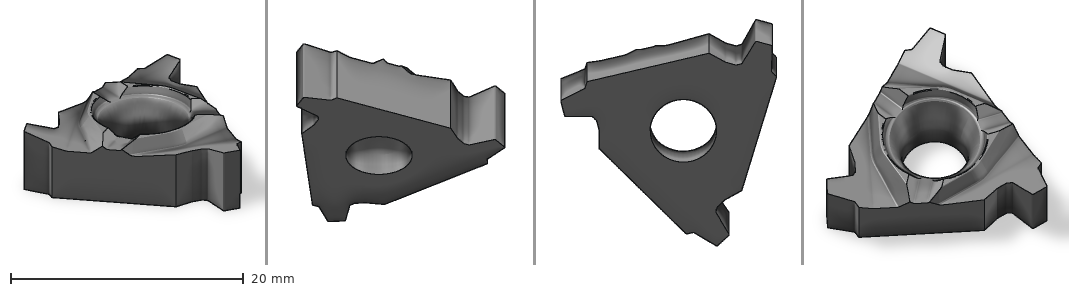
import cadquery as cq
import math


TOOTH_COUNT = 3
PITCH_ANGLE = 360 / TOOTH_COUNT

TOP_Z = 5.85
TIP_Z = 5.62
FLOOR_Z = 4.6
INSCRIBED_RADIUS = 6.33
REACH = 13.2
CLEARANCE = 0.38

TIP_Y = 9.58
TIP_LEFT_X = -5.2
TIP_RIGHT_X = -3.71
TIP_CORNER_RADIUS = 0.13
ROOT_CORNER_RADIUS = 0.1
ROOT_Y = 7.28
ROOT_LEFT_X = -5.79
ROOT_RIGHT_X = -3.13
SHOULDER_Y = 6.95
VALLEY_Y = 7.01
VALLEY_START_X = -2.7
VALLEY_END_X = -1.77
CREST_X = -0.15

CREASE_Y = 5.71
CREASE_RADIUS = 0.45
WALL_FOOT_RADIUS = 0.23
WALL_TOP_RADIUS = 0.13
WALL_FOOT_Y = 5.47
WALL_FOOT_BEND_X = -1.4
WALL_FOOT_SLANT = 21.1
WALL_FOOT_BEND_RADIUS = 3.77
WALL_TOP_Y = 4.71
WALL_TOP_BEND_X = -1.23
WALL_TOP_SLANT = 28.6
WALL_TOP_BEND_RADIUS = 2.83
WALL_KINK_DIRECTION = 60.0
WALL_TURN = 5.0
WALL_START_X = -7.54
WALL_END_X = 7.54

GROOVE_ANGLE = 165.0
GROOVE_OFFSET = 0.1
GROOVE_FLOOR_Z = 5.05
GROOVE_WIDTH = 1.13
GROOVE_SIDE_ANGLE = 40.0
GROOVE_CORNER_RADIUS = 0.28

HOLE_RADIUS = 5.7 / 2
SEAT_TOP_RADIUS = 3.98
SEAT_DEPTH = 3.02
SEAT_EDGE_RADIUS = 0.26
RECESS_BOTTOM_RADIUS = 4.2
RECESS_TOP_RADIUS = 4.52
RECESS_CORNER_RADIUS = 0.28
RECESS_EDGE_RADIUS = 0.1


def around_axis(point, index):
    """Turn an XY point about the Z axis by a number of tooth pitches."""
    angle = math.radians(index * PITCH_ANGLE)
    x, y = point
    return (
        x * math.cos(angle) - y * math.sin(angle),
        x * math.sin(angle) + y * math.cos(angle),
    )


def cut_at_every_tooth(body, tool):
    for index in range(TOOTH_COUNT):
        body = body.cut(tool.rotate((0, 0, 0), (0, 0, 1), index * PITCH_ANGLE))
    return body


def round_upright_edges(body, points, radius):
    """Fillet the vertical edges that stand at the given points of every tooth."""
    edges = []
    for index in range(TOOTH_COUNT):
        for point in points:
            corner = around_axis(point, index) + (TOP_Z / 2,)
            edges += body.edges(cq.selectors.NearestToPointSelector(corner)).vals()
    return body.newObject(edges).fillet(radius)


def make_body():
    side_angle = math.radians(PITCH_ANGLE / 2)
    crest_y = (INSCRIBED_RADIUS - CREST_X * math.cos(side_angle)) / math.sin(side_angle)
    tooth = [
        (CREST_X, crest_y),
        (VALLEY_END_X, VALLEY_Y),
        (VALLEY_START_X, VALLEY_Y),
        (ROOT_RIGHT_X, ROOT_Y),
        (TIP_RIGHT_X, TIP_Y),
        (TIP_LEFT_X, TIP_Y),
        (ROOT_LEFT_X, ROOT_Y),
        (-INSCRIBED_RADIUS, SHOULDER_Y),
    ]
    outline = [around_axis(point, index) for index in range(TOOTH_COUNT) for point in tooth]
    body = cq.Workplane("XY").polyline(outline).close().extrude(TOP_Z)
    tips = [(TIP_LEFT_X, TIP_Y), (TIP_RIGHT_X, TIP_Y)]
    roots = [(ROOT_LEFT_X, ROOT_Y), (ROOT_RIGHT_X, ROOT_Y), (VALLEY_START_X, VALLEY_Y)]
    body = round_upright_edges(body, tips, TIP_CORNER_RADIUS)
    return round_upright_edges(body, roots, ROOT_CORNER_RADIUS)


def wall_outline(z, y, bend_x, slant, bend_radius):
    """Closed pocket outline at one height: along the wall, then far around the tooth."""
    slant = math.radians(slant)
    kink_x = y / math.tan(math.radians(WALL_KINK_DIRECTION))
    setback = bend_radius * math.tan(slant / 2)
    start = (WALL_START_X, y - (bend_x - WALL_START_X) * math.tan(slant))
    bend_start = (bend_x - setback * math.cos(slant), y - setback * math.sin(slant))
    bend_end = (bend_x + setback, y)
    bend_middle = (
        bend_end[0] - bend_radius * math.sin(slant / 2),
        y - bend_radius * (1 - math.cos(slant / 2)),
    )
    end = (WALL_END_X, y - (WALL_END_X - kink_x) * math.tan(math.radians(WALL_TURN)))
    return (
        cq.Workplane("XY", origin=(0, 0, z))
        .moveTo(*start)
        .lineTo(*bend_start)
        .threePointArc(bend_middle, bend_end)
        .lineTo(kink_x, y)
        .lineTo(*end)
        .lineTo(WALL_END_X, REACH)
        .lineTo(WALL_START_X, REACH)
        .close()
        .val()
    )


def make_pocket():
    foot = wall_outline(FLOOR_Z, WALL_FOOT_Y, WALL_FOOT_BEND_X, WALL_FOOT_SLANT, WALL_FOOT_BEND_RADIUS)
    top = wall_outline(TOP_Z, WALL_TOP_Y, WALL_TOP_BEND_X, WALL_TOP_SLANT, WALL_TOP_BEND_RADIUS)
    ruled = cq.Workplane(obj=cq.Solid.makeLoft([foot, top], True))
    near_the_wall = cq.selectors.BoxSelector(
        (WALL_START_X + CLEARANCE, 0, 0),
        (WALL_END_X - CLEARANCE, WALL_FOOT_Y + CLEARANCE, TOP_Z),
    )
    ruled = ruled.faces("<Z").edges(near_the_wall).fillet(WALL_FOOT_RADIUS)

    above_top_z = 2 * TOP_Z
    rake_slope = (TIP_Z - FLOOR_Z) / (TIP_Y - CREASE_Y)
    above_floor = (
        cq.Workplane("YZ", origin=(-REACH, 0, 0))
        .moveTo(0, FLOOR_Z)
        .lineTo(CREASE_Y, FLOOR_Z)
        .lineTo(REACH, FLOOR_Z + rake_slope * (REACH - CREASE_Y))
        .lineTo(REACH, above_top_z)
        .lineTo(0, above_top_z)
        .close()
        .extrude(2 * REACH)
        .edges(cq.selectors.NearestToPointSelector((0, CREASE_Y, FLOOR_Z)))
        .fillet(CREASE_RADIUS)
    )
    return ruled.intersect(above_floor)


def make_groove():
    tool_top_z = TOP_Z + CLEARANCE
    height = tool_top_z - GROOVE_FLOOR_Z
    floor_half = GROOVE_WIDTH / 2
    top_half = floor_half + height / math.tan(math.radians(GROOVE_SIDE_ANGLE))
    return (
        cq.Workplane("YZ")
        .polyline([
            (GROOVE_OFFSET - floor_half, GROOVE_FLOOR_Z),
            (GROOVE_OFFSET + floor_half, GROOVE_FLOOR_Z),
            (GROOVE_OFFSET + top_half, tool_top_z),
            (GROOVE_OFFSET - top_half, tool_top_z),
        ])
        .close()
        .extrude(REACH)
        .faces("<Z")
        .edges("|X")
        .fillet(GROOVE_CORNER_RADIUS)
        .rotate((0, 0, 0), (0, 0, 1), GROOVE_ANGLE)
    )


def round_ring(solid, ring_radius, fillet_radius):
    """Fillet the circular edge that has the given radius."""
    rings = solid.edges("%CIRCLE").filter(lambda edge: math.isclose(edge.radius(), ring_radius))
    return rings.fillet(fillet_radius)


def make_hole():
    flare = SEAT_TOP_RADIUS - HOLE_RADIUS
    seat_angle = 2 * math.atan2(flare, SEAT_DEPTH)
    seat_radius = SEAT_DEPTH / math.sin(seat_angle)
    seat_bottom_z = GROOVE_FLOOR_Z - SEAT_DEPTH
    seat_middle = (
        HOLE_RADIUS + seat_radius * (1 - math.cos(seat_angle / 2)),
        seat_bottom_z + seat_radius * math.sin(seat_angle / 2),
    )
    hole = (
        cq.Workplane("XZ")
        .moveTo(0, 0)
        .lineTo(HOLE_RADIUS, 0)
        .lineTo(HOLE_RADIUS, seat_bottom_z)
        .threePointArc(seat_middle, (SEAT_TOP_RADIUS, GROOVE_FLOOR_Z))
        .lineTo(RECESS_BOTTOM_RADIUS, GROOVE_FLOOR_Z)
        .lineTo(RECESS_TOP_RADIUS, TOP_Z)
        .lineTo(RECESS_TOP_RADIUS + CLEARANCE, TOP_Z)
        .lineTo(RECESS_TOP_RADIUS + CLEARANCE, TOP_Z + CLEARANCE)
        .lineTo(0, TOP_Z + CLEARANCE)
        .close()
        .revolve(360, (0, 0, 0), (0, 1, 0))
    )
    hole = round_ring(hole, SEAT_TOP_RADIUS, SEAT_EDGE_RADIUS)
    hole = round_ring(hole, RECESS_BOTTOM_RADIUS, RECESS_CORNER_RADIUS)
    return round_ring(hole, RECESS_TOP_RADIUS, RECESS_EDGE_RADIUS)


result = cut_at_every_tooth(make_body(), make_pocket())
result = result.faces(">Z").edges().fillet(WALL_TOP_RADIUS)
result = cut_at_every_tooth(result, make_groove())
result = result.cut(make_hole())